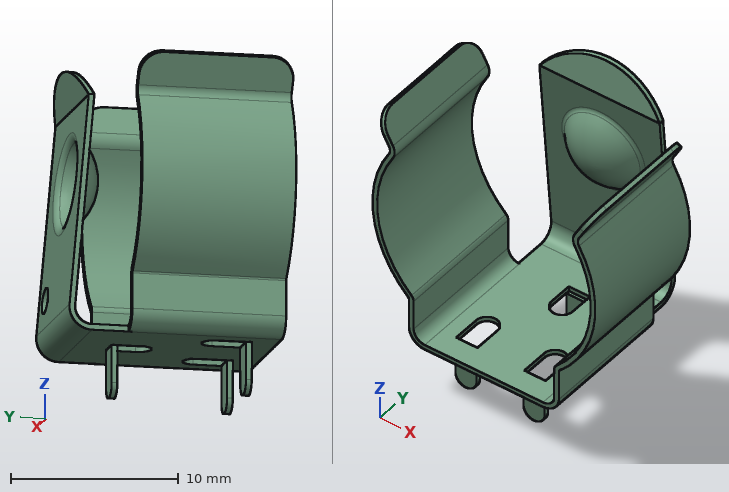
import cadquery as cq
import math

sheet = 0.35
overlap = 0.2

arm_depth = 9.4
grip_radius = 8.306
grip_height = 9.55
leg_half_width = 5.58
floor_bend_radius = 1.18
leg_bend_radius = 0.15
neck_half_width = 6.65
neck_bend_radius = 0.59
lip_angle = 60.0
lip_length = 2.12
lip_corner_radius = 1.38

tongue_width = 8.96
tongue_back = 13.0
tongue_bend_radius = 1.38
tongue_lean = 5.2
tongue_kink_height = 14.4
tongue_lip_lean = 17.0
tongue_top = 16.57

dome_height = 9.81
dome_rise = 1.55
dome_base_radius = 3.1
dome_blend_radius = 0.35
hole_diameter = 1.57
hole_x = 2.85
hole_height = 3.32

pin_width = 1.57
pin_length = 3.09
pin_pitch = 2.54
front_pin_y = 1.6
back_pin_y = 9.57
pin_overlap = 0.1
front_slot_length = 2.77
back_slot_length = 2.5


def polar(center, radius, degrees):
    """Point at a distance and direction from a centre."""
    angle = math.radians(degrees)
    return (center[0] + radius * math.cos(angle), center[1] + radius * math.sin(angle))


def add_arc(path, center, radius, start, end):
    """Continue a path along an arc that starts at its current point."""
    middle = polar(center, radius, (start + end) / 2)
    return path.threePointArc(middle, polar(center, radius, end))


def add_line_and_arc(path, center, radius, start, end):
    """Continue a path straight to the start of an arc and then along the arc."""
    return add_arc(path.lineTo(*polar(center, radius, start)), center, radius, start, end)


def make_arm():
    """Right half of the floor with its leg, gripping arc, neck and lip."""
    grip_center = (0, grip_height)
    floor_center = (leg_half_width - floor_bend_radius, floor_bend_radius)

    leg_center_x = leg_half_width + leg_bend_radius
    leg_angle = -math.degrees(math.acos(leg_center_x / (grip_radius + leg_bend_radius)))
    leg_center = polar(grip_center, grip_radius + leg_bend_radius, leg_angle)

    neck_center_x = neck_half_width + sheet + neck_bend_radius
    neck_angle = math.degrees(math.acos(neck_center_x / (grip_radius + neck_bend_radius)))
    neck_center = polar(grip_center, grip_radius + neck_bend_radius, neck_angle)
    lip_normal = lip_angle + 90

    def lip_end(radius):
        return polar(polar(neck_center, radius, lip_normal), lip_length, lip_angle)

    path = cq.Workplane("XZ").moveTo(0, 0)
    path = add_line_and_arc(path, floor_center, floor_bend_radius, -90, 0)
    path = add_line_and_arc(path, leg_center, leg_bend_radius, 180, 180 + leg_angle)
    path = add_arc(path, grip_center, grip_radius, leg_angle, neck_angle)
    path = add_arc(path, neck_center, neck_bend_radius, 180 + neck_angle, lip_normal)
    path = path.lineTo(*lip_end(neck_bend_radius))
    path = path.lineTo(*lip_end(neck_bend_radius + sheet))
    path = add_line_and_arc(path, neck_center, neck_bend_radius + sheet, lip_normal, 180 + neck_angle)
    path = add_arc(path, grip_center, grip_radius - sheet, neck_angle, leg_angle)
    path = add_arc(path, leg_center, leg_bend_radius + sheet, 180 + leg_angle, 180)
    path = add_line_and_arc(path, floor_center, floor_bend_radius - sheet, 0, -90)
    arm = path.lineTo(0, sheet).close().extrude(-arm_depth)

    end_x, end_z = lip_end(neck_bend_radius + sheet / 2)
    corners = cq.Workplane("XY")
    for y in (0, arm_depth):
        corners = corners.add(arm.edges(cq.NearestToPointSelector((end_x, y, end_z))))
    return arm.newObject(corners.vals()).fillet(lip_corner_radius)


bend_center = (tongue_back - tongue_bend_radius, tongue_bend_radius)
front_bend_end = polar(bend_center, tongue_bend_radius - sheet, tongue_lean)


def tongue_front_y(height):
    """Front face of the leaning tongue at a given height."""
    return front_bend_end[0] - (height - front_bend_end[1]) * math.tan(math.radians(tongue_lean))


def make_tongue():
    """Floor extension bent up into the leaning tongue with its top lip."""
    kink_front = (tongue_front_y(tongue_kink_height), tongue_kink_height)
    half_turn = (tongue_lean + tongue_lip_lean) / 2
    mitre_angle = (tongue_lean - tongue_lip_lean) / 2
    kink_back = polar(kink_front, sheet / math.cos(math.radians(half_turn)), mitre_angle)
    lip_slope = math.tan(math.radians(tongue_lip_lean))
    top_front_y = kink_front[0] + (tongue_top - kink_front[1]) * lip_slope
    top_back_y = kink_back[0] + (tongue_top - kink_back[1]) * lip_slope

    path = cq.Workplane("YZ").moveTo(arm_depth - overlap, 0)
    path = add_line_and_arc(path, bend_center, tongue_bend_radius, -90, tongue_lean)
    path = path.lineTo(*kink_back).lineTo(top_back_y, tongue_top)
    path = path.lineTo(top_front_y, tongue_top).lineTo(*kink_front)
    path = add_line_and_arc(path, bend_center, tongue_bend_radius - sheet, tongue_lean, -90)
    tongue = path.lineTo(arm_depth - overlap, sheet).close().extrude(tongue_width / 2, both=True)

    half_width = tongue_width / 2
    outline = (
        cq.Workplane("XZ")
        .moveTo(-half_width, 0)
        .lineTo(half_width, 0)
        .lineTo(half_width, tongue_kink_height)
        .threePointArc((0, tongue_top), (-half_width, tongue_kink_height))
        .close()
        .extrude(-2 * tongue_back)
    )
    hole = (
        cq.Workplane("XZ")
        .center(hole_x, hole_height)
        .circle(hole_diameter / 2)
        .extrude(-2 * tongue_back)
    )
    return tongue.intersect(outline).cut(hole)


lean = math.radians(tongue_lean)
dome_plane = cq.Plane(
    origin=(0, tongue_front_y(dome_height), dome_height),
    xDir=(1, 0, 0),
    normal=(0, -math.cos(lean), -math.sin(lean)),
)


def dome_body(offset):
    """Dome with a blended rim, moved back through the sheet by an offset."""
    foot = offset + sheet / 2
    crown_to_blend = dome_rise - dome_blend_radius
    sphere_radius = (dome_base_radius**2 + crown_to_blend**2 - dome_blend_radius**2) / (2 * dome_rise)
    sphere_center = (0, dome_rise - sphere_radius)
    blend_center = (dome_base_radius, dome_blend_radius)
    rim_angle = math.degrees(
        math.atan2(blend_center[1] - sphere_center[1], dome_base_radius)
    )
    path = cq.Workplane("XY").moveTo(0, -foot)
    path = path.lineTo(dome_base_radius, -foot)
    path = add_line_and_arc(path, blend_center, dome_blend_radius + offset, -90, rim_angle - 180)
    path = add_arc(path, sphere_center, sphere_radius - offset, rim_angle, 90)
    body = path.close().revolve(360, (0, 0), (0, 1))
    body = body.rotate((0, 0, 0), (1, 0, 0), 90)
    return cq.Workplane("XY").add(body.val().moved(cq.Location(dome_plane)))


def make_pin(x, y_min):
    """Hanging pin with a fully rounded end."""
    radius = pin_width / 2
    return (
        cq.Workplane("XZ", origin=(x, y_min, 0))
        .moveTo(-radius, 0)
        .lineTo(-radius, radius - pin_length)
        .threePointArc((0, -pin_length), (radius, radius - pin_length))
        .lineTo(radius, 0)
        .close()
        .extrude(-sheet)
    )


def make_slot(x, y_square, length, direction):
    """Floor slot, square beside its pin and round at the far end (direction is +1 or -1)."""
    radius = pin_width / 2
    y_round = y_square + direction * (length - radius)
    return (
        cq.Workplane("XY")
        .moveTo(x - radius, y_square)
        .lineTo(x - radius, y_round)
        .threePointArc((x, y_round + direction * radius), (x + radius, y_round))
        .lineTo(x + radius, y_square)
        .close()
        .extrude(sheet)
    )


arm = make_arm()
clip = arm.union(arm.mirror("YZ")).union(make_tongue())
clip = clip.union(dome_body(0)).cut(dome_body(sheet))

for x in (-pin_pitch, pin_pitch):
    clip = clip.cut(make_slot(x, front_pin_y + pin_overlap, front_slot_length, 1))
    clip = clip.union(make_pin(x, front_pin_y))
clip = clip.cut(make_slot(0, back_pin_y - pin_overlap, back_slot_length, -1))
clip = clip.union(make_pin(0, back_pin_y - sheet))

result = clip